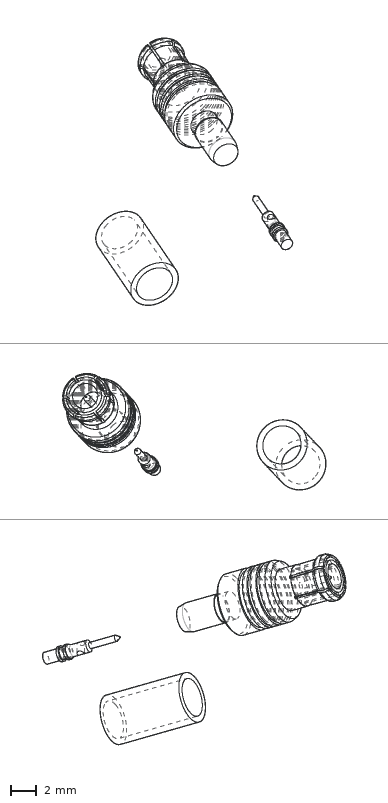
import cadquery as cq


cut_clearance = 0.27

collet_face_radius = 1.7
bead_radius = 1.88
bead_crest_start = 0.3
bead_crest_end = 0.73
bead_foot = 0.98
collet_waist_radius = 1.69
collet_root_radius = 1.65
collet_root = 3.0
nose_radius = 1.69
slot_count = 6
slot_width = 0.2
slot_length = 3.1
slot_depth = bead_radius + cut_clearance

groove_mouth_radius = 1.52
groove_floor_radius = 1.39
groove_inner_radius = 1.3
sleeve_bore_radius = 1.0
socket_depth = slot_length

body_radius = 2.5
body_start = 4.4
body_end = 9.32
front_chamfer_length = 0.43
chamfer_size = 0.2
grip_groove_depth = 0.2
grip_grooves = [(5.38, 0.3), (6.2, 0.3), (6.9, 0.4)]

neck_radius = 1.11
barrel_diameter = 2.36
barrel_radius = barrel_diameter / 2
barrel_start = 10.3
barrel_taper_start = 13.18
barrel_end = 13.8
barrel_end_radius = 1.03

contact_radius = 0.26
contact_tip_radius = 0.05
contact_tip_length = 0.35
contact_recess = 0.33

pin_start = 19.6
pin_end = 26.36
pin_shoulder = 22.3
pin_shoulder_length = 0.14
pin_body_radius = 0.5
pin_ring_radius = 0.63
pin_ring_width = 0.22
pin_ring_starts = [24.22, 24.85]
pin_cone_start = 23.9
pin_cone_end_radius = 0.57
pin_hole_x = 23.15
pin_hole_diameter = 0.6

ferrule_start = 19.98
ferrule_end = 27.18
ferrule_length = ferrule_end - ferrule_start
ferrule_outer_radius = 2.0
ferrule_inner_radius = 1.52
ferrule_y = -11.5


def tube(start, length, outer_radius, inner_radius=0):
    """Cylinder or tube along the X axis."""
    profile = cq.Workplane("YZ", origin=(start, 0, 0)).circle(outer_radius)
    if inner_radius:
        profile = profile.circle(inner_radius)
    return profile.extrude(length)


def turned(profile):
    """Revolve (x, radius) points, closed along the X axis, about that axis."""
    first_x = profile[0][0]
    last_x = profile[-1][0]
    points = [(first_x, 0), *profile, (last_x, 0)]
    return cq.Workplane("XY").polyline(points).close().revolve(360, (0, 0, 0), (1, 0, 0))


def contact_profile(tip_x, end_x):
    """Outline of a cone-tipped contact shaft."""
    return [
        (tip_x, contact_tip_radius),
        (tip_x + contact_tip_length, contact_radius),
        (end_x, contact_radius),
    ]


def make_housing_blank():
    """Solid turned outline of collet, grip body and crimp barrel."""
    return turned([
        (0, collet_face_radius),
        (bead_crest_start, bead_radius),
        (bead_crest_end, bead_radius),
        (bead_foot, collet_waist_radius),
        (collet_root, collet_root_radius),
        (collet_root, nose_radius),
        (body_start, nose_radius),
        (body_start, body_radius - chamfer_size),
        (body_start + front_chamfer_length, body_radius),
        (body_end - chamfer_size, body_radius),
        (body_end, body_radius - chamfer_size),
        (body_end, neck_radius),
        (barrel_start, neck_radius),
        (barrel_start, barrel_radius),
        (barrel_taper_start, barrel_radius),
        (barrel_end, barrel_end_radius),
    ])


def make_socket_cut():
    """Hollow of the collet, narrowing with depth, and the slots through its wall."""
    cut = turned([
        (0, groove_mouth_radius),
        (socket_depth, groove_floor_radius),
    ])
    for i in range(slot_count):
        slot = (
            cq.Workplane("XY")
            .box(slot_length, slot_depth, slot_width, centered=(False, False, True))
            .rotate((0, 0, 0), (1, 0, 0), i * 360 / slot_count)
        )
        cut = cut.union(slot)
    return cut


def make_housing():
    """Housing with its grip grooves, slotted socket, sleeve and fixed contact."""
    housing = make_housing_blank()
    for start, width in grip_grooves:
        housing = housing.cut(tube(start, width, body_radius + cut_clearance, body_radius - grip_groove_depth))
    housing = housing.cut(make_socket_cut())
    sleeve = tube(0, socket_depth, groove_inner_radius, sleeve_bore_radius)
    contact = turned(contact_profile(contact_recess, socket_depth))
    return housing.union(sleeve).union(contact)


def make_pin():
    """Cone-tipped pin with two rings, the first led in by a shallow cone, and a cross hole."""
    cone_end = pin_ring_starts[0]
    pin = turned([
        *contact_profile(pin_start, pin_shoulder),
        (pin_shoulder + pin_shoulder_length, pin_body_radius),
        (pin_cone_start, pin_body_radius),
        (cone_end, pin_cone_end_radius),
        (cone_end, pin_body_radius),
        (pin_end, pin_body_radius),
    ])
    for start in pin_ring_starts:
        pin = pin.union(tube(start, pin_ring_width, pin_ring_radius))
    cross_hole = (
        cq.Workplane("XY")
        .center(pin_hole_x, 0)
        .circle(pin_hole_diameter / 2)
        .extrude(pin_ring_radius, both=True)
    )
    return pin.cut(cross_hole)


def make_ferrule():
    """Plain crimp tube lying beside the housing axis."""
    ferrule = tube(ferrule_start, ferrule_length, ferrule_outer_radius, ferrule_inner_radius)
    return ferrule.translate((0, ferrule_y, 0))


housing = make_housing()
pin = make_pin()
ferrule = make_ferrule()

result = cq.Compound.makeCompound([housing.val(), pin.val(), ferrule.val()])